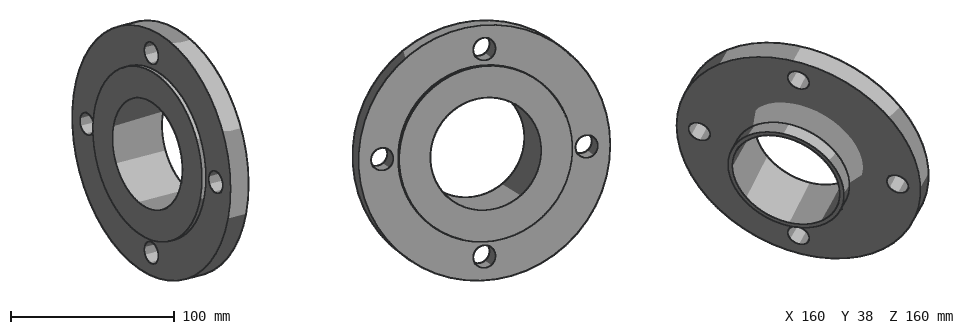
import cadquery as cq

flange_diameter = 160.0
flange_thickness = 14.0
raised_face_diameter = 110.0
raised_face_height = 3.0
total_length = 38.0
neck_diameter = 76.0
neck_length = 9.3
hub_base_diameter = 88.0
hub_fillet_radius = 5.0
bore_diameter = 70.4
bolt_circle_diameter = 130.0
bolt_hole_diameter = 14.0
bolt_hole_count = 4

flange_back = raised_face_height + flange_thickness
hub_end = total_length - neck_length


def revolved_body():
    """Raised face, flange disc, tapered hub and neck as one turned profile."""
    profile = (
        cq.Workplane("XY")
        .lineTo(raised_face_diameter / 2, 0)
        .lineTo(raised_face_diameter / 2, raised_face_height)
        .lineTo(flange_diameter / 2, raised_face_height)
        .lineTo(flange_diameter / 2, flange_back)
        .lineTo(hub_base_diameter / 2, flange_back)
        .lineTo(neck_diameter / 2, hub_end)
        .lineTo(neck_diameter / 2, total_length)
        .lineTo(0, total_length)
        .close()
    )
    return profile.revolve(360, (0, 0, 0), (0, 1, 0))


def fillet_hub_root(body):
    """Round the corner between the tapered hub and the back of the flange."""
    root = cq.selectors.RadiusNthSelector(1)
    return body.edges(root).fillet(hub_fillet_radius)


def drilling_plane():
    """Plane of the raised face; its normal points along -Y, out of the part."""
    return cq.Workplane("XZ")


def bore():
    return drilling_plane().circle(bore_diameter / 2).extrude(-total_length)


def bolt_holes():
    return (
        drilling_plane()
        .polarArray(bolt_circle_diameter / 2, 0, 360, bolt_hole_count)
        .circle(bolt_hole_diameter / 2)
        .extrude(-total_length)
    )


body = revolved_body()
result = fillet_hub_root(body).cut(bore()).cut(bolt_holes())